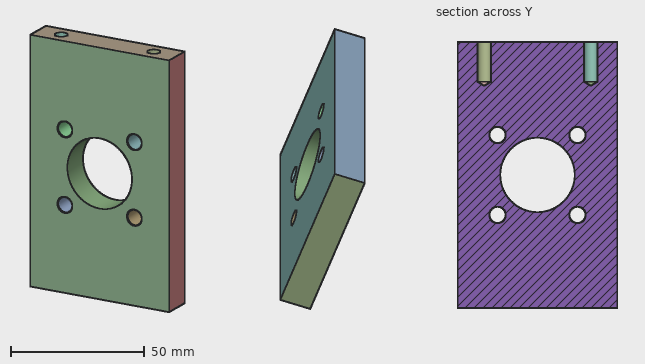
import cadquery as cq
import math

width = 60.0
thickness = 12.0
height = 100.0

bore_diameter = 27.9
mount_hole_diameter = 6.0
mount_rim_diameter = 6.5
mount_chamfer = (mount_rim_diameter - mount_hole_diameter) / 2
mount_spacing = 30.0

edge_hole_diameter = 5.0
edge_hole_depth = 15.0
edge_hole_spacing = 40.0
drill_point_angle = 118.0
drill_tip_height = edge_hole_diameter / 2 / math.tan(math.radians(drill_point_angle / 2))


def cross_hole(diameter, x, z):
    """Cylinder running through the plate along Y."""
    return (
        cq.Workplane("XZ", origin=(x, thickness / 2, z))
        .circle(diameter / 2)
        .extrude(thickness)
    )


def mount_hole(x, z):
    """Through hole with a small chamfer at its front mouth."""
    mouth = cq.Solid.makeCone(
        mount_rim_diameter / 2,
        mount_hole_diameter / 2,
        mount_chamfer,
        pnt=cq.Vector(x, -thickness / 2, z),
        dir=cq.Vector(0, 1, 0),
    )
    return cross_hole(mount_hole_diameter, x, z).union(cq.Workplane(mouth))


def edge_hole(x):
    """Drilled hole going down from the top edge."""
    radius = edge_hole_diameter / 2
    shoulder_z = height - edge_hole_depth
    profile = [
        (0, height),
        (radius, height),
        (radius, shoulder_z),
        (0, shoulder_z - drill_tip_height),
    ]
    drill = cq.Workplane("XZ").polyline(profile).close().revolve(360, (0, 0), (0, 1))
    return drill.translate((x, 0, 0))


plate = cq.Workplane("XY").box(width, thickness, height, centered=(True, True, False))
plate = plate.cut(cross_hole(bore_diameter, 0, height / 2))

for side in (-1, 1):
    plate = plate.cut(edge_hole(side * edge_hole_spacing / 2))
    for level in (-1, 1):
        mount_x = side * mount_spacing / 2
        mount_z = height / 2 + level * mount_spacing / 2
        plate = plate.cut(mount_hole(mount_x, mount_z))

result = plate